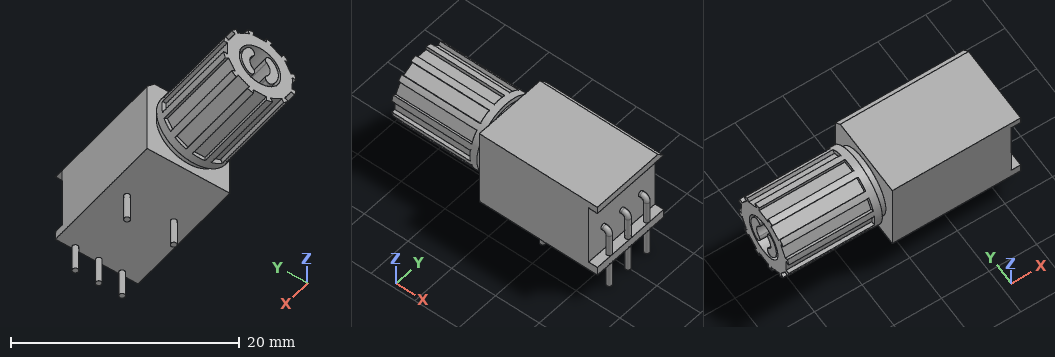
import cadquery as cq
import math


body_length = 13.5
body_width = 9.0
body_height = 8.8
body_chamfer = 0.8
recess_depth = 1.0
top_lip = 0.8
bottom_lip = 1.0

knob_length = 9.8
knob_diameter = 8.0
neck_diameter = 7.0
neck_length = 0.7
axis_height = body_height / 2
body_front = knob_length + neck_length
body_back = body_front + body_length

groove_count = 12
groove_length = 9.0
groove_width = 1.39
groove_floor_radius = 3.53

bore_diameter = 4.5
bore_depth = 9.0
jaw_outer_radius = 2.0
jaw_inner_radius = 1.1
jaw_half_angle = 65.0
jaw_corner_radius = 0.4

pin_diameter = 0.6
pin_length = 3.0
pin_pitch = 2.54
support_pin_spacing = 7.6
terminal_x = body_back - pin_diameter / 2
support_pin_x = terminal_x - support_pin_spacing
terminal_height = 4.0
terminal_bend_radius = 0.5
pin_embedment = 0.5


def cylinder_along_x(diameter, start, length):
    plane = cq.Workplane("YZ", origin=(start, 0, axis_height))
    return plane.circle(diameter / 2).extrude(length)


def make_body():
    """Block with one chamfered top edge and a recess across its back face."""
    block = cq.Workplane("XY").box(body_length, body_width, body_height, centered=(False, True, False))
    block = block.translate((body_front, 0, 0))
    block = block.faces(">Y").edges(">Z").chamfer(body_chamfer)
    recess_height = body_height - top_lip - bottom_lip
    recess = cq.Workplane("XY").box(recess_depth, body_width, recess_height, centered=(False, True, False))
    return block.cut(recess.translate((body_back - recess_depth, 0, bottom_lip)))


def make_groove(angle):
    """Cutter for one flat-bottomed groove, turned round the knob axis by the angle."""
    groove_height = knob_diameter / 2
    groove = cq.Workplane("XY").box(groove_length, groove_width, groove_height, centered=(False, True, False))
    groove = groove.translate((0, 0, axis_height + groove_floor_radius))
    return groove.rotate((0, 0, axis_height), (1, 0, axis_height), angle)


def polar(radius, degrees):
    """Point at the given radius and angle from the knob axis."""
    angle = math.radians(degrees)
    return (radius * math.cos(angle), radius * math.sin(angle))


def make_jaw(center_angle):
    """Rounded ring sector that rises from the bore floor to the knob face."""
    first = center_angle - jaw_half_angle
    last = center_angle + jaw_half_angle
    outline = (
        cq.Workplane("YZ", origin=(0, 0, axis_height))
        .moveTo(*polar(jaw_outer_radius, first))
        .threePointArc(polar(jaw_outer_radius, center_angle), polar(jaw_outer_radius, last))
        .lineTo(*polar(jaw_inner_radius, last))
        .threePointArc(polar(jaw_inner_radius, center_angle), polar(jaw_inner_radius, first))
        .close()
    )
    return outline.extrude(bore_depth).edges("|X").fillet(jaw_corner_radius)


def make_knob():
    """Grooved knob with the two jaws left standing in its blind bore."""
    knob = cylinder_along_x(knob_diameter, 0, knob_length)
    for index in range(groove_count):
        knob = knob.cut(make_groove(index * 360 / groove_count))
    knob = knob.cut(cylinder_along_x(bore_diameter, 0, bore_depth))
    for center_angle in (0, 180):
        knob = knob.union(make_jaw(center_angle))
    return knob


def make_support_pin(y):
    """Straight pin under the middle of the body."""
    plane = cq.Workplane("XY", origin=(support_pin_x, y, -pin_length))
    return plane.circle(pin_diameter / 2).extrude(pin_length + pin_embedment)


def make_terminal(y):
    """Pin that leaves the recess wall and bends down through the bottom lip."""
    bend_x = terminal_x - terminal_bend_radius
    bend_z = terminal_height - terminal_bend_radius
    start_x = body_back - recess_depth - pin_embedment
    bend_mid = terminal_bend_radius * math.sqrt(0.5)
    path = (
        cq.Workplane("XZ", origin=(0, y, 0))
        .moveTo(terminal_x, -pin_length)
        .lineTo(terminal_x, bend_z)
        .threePointArc((bend_x + bend_mid, bend_z + bend_mid), (bend_x, terminal_height))
        .lineTo(start_x, terminal_height)
    )
    section = cq.Workplane("XY", origin=(terminal_x, y, -pin_length)).circle(pin_diameter / 2)
    return section.sweep(path)


result = make_body()
result = result.union(cylinder_along_x(neck_diameter, knob_length, neck_length))
result = result.union(make_knob())
for side in (-1, 1):
    result = result.union(make_support_pin(side * pin_pitch))
for position in (-1, 0, 1):
    result = result.union(make_terminal(position * pin_pitch))